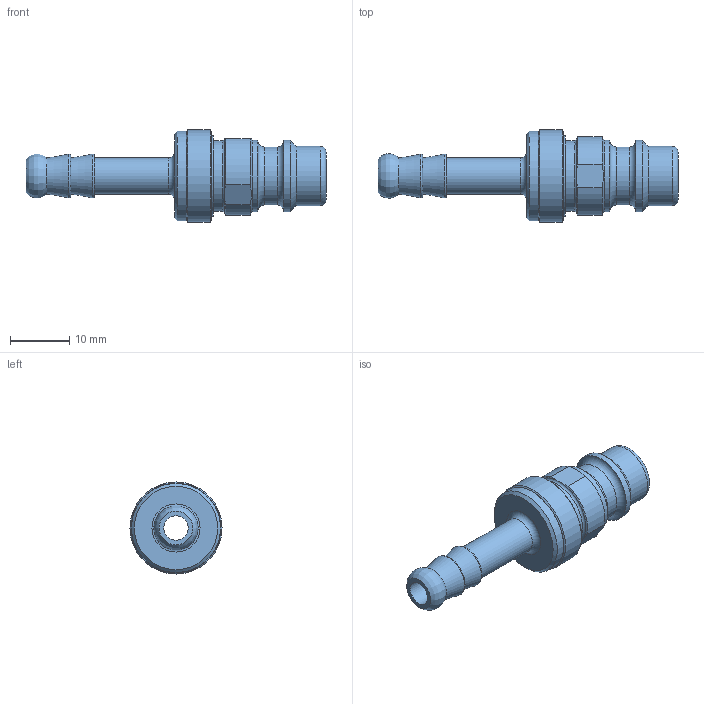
import cadquery as cq
import math

total_length = 50.5
bore_radius = 4.1 / 2

stem_radius = 6.1 / 2
tip_face_radius = 2.85
tip_crest_radius = 3.75
tip_crest_x = 1.75
first_barb_x = 3.5
barb_count = 2
barb_pitch = 4.0
barb_crest_radius = 3.7
barb_flare_sag = 0.06
barb_crest_round = 0.3
collar_start_x = 25.0
collar_end_x = 27.0
collar_radius = 15.0 / 2
collar_chamfer = 0.5
stem_fillet = 1.0

sleeve_radius = 15.5 / 2
sleeve_end_x = 31.2
sleeve_chamfer = 0.2
step_radius = 13.5 / 2
step_end_x = 31.55
neck_radius = 11.9 / 2
neck_end_x = 33.05
neck_fillet = 0.4
wrench_radius = 13.2 / 2
wrench_cone_angle = math.radians(60)
wrench_end_x = 37.75
flat_distance = 6.3
flat_count = 3
land_radius = 12.0 / 2
land_end_x = 39.0
groove_radius = 9.75 / 2
rib_start_x = 43.4
rib_width = 1.1
nose_radius = 10.0 / 2
nose_round = 1.0


def arc_point(center_x, center_r, radius, degrees):
    """Point on a circle in the (x, radius) half plane."""
    angle = math.radians(degrees)
    return (center_x + radius * math.cos(angle), center_r + radius * math.sin(angle))


def revolve_about_x(profile):
    return profile.close().revolve(360, (0, 0, 0), (1, 0, 0))


def add_barb(profile, start_x):
    """Hollow flank flaring up to a rounded crest, then a square drop to the stem."""
    end_x = start_x + barb_pitch
    crest_x = end_x - barb_crest_round
    flank_middle = (
        (start_x + crest_x) / 2,
        (stem_radius + barb_crest_radius) / 2 - barb_flare_sag,
    )
    shoulder_r = barb_crest_radius - barb_crest_round
    crest_middle = arc_point(crest_x, shoulder_r, barb_crest_round, 45)
    return (
        profile.threePointArc(flank_middle, (crest_x, barb_crest_radius))
        .threePointArc(crest_middle, (end_x, shoulder_r))
        .lineTo(end_x, stem_radius)
    )


def make_hose_tail():
    profile = (
        cq.Workplane("XY")
        .moveTo(0, bore_radius)
        .lineTo(0, tip_face_radius)
        .threePointArc((tip_crest_x, tip_crest_radius), (first_barb_x, stem_radius))
    )
    for index in range(barb_count):
        profile = add_barb(profile, first_barb_x + index * barb_pitch)

    fillet_x = collar_start_x - stem_fillet
    fillet_r = stem_radius + stem_fillet
    profile = (
        profile.lineTo(fillet_x, stem_radius)
        .threePointArc(arc_point(fillet_x, fillet_r, stem_fillet, -45), (collar_start_x, fillet_r))
        .lineTo(collar_start_x, collar_radius - collar_chamfer)
        .lineTo(collar_start_x + collar_chamfer, collar_radius)
        .lineTo(collar_end_x, collar_radius)
        .lineTo(collar_end_x, bore_radius)
    )
    return revolve_about_x(profile)


def make_plug_blank():
    fillet_end = (neck_end_x + neck_fillet, neck_radius + neck_fillet)
    fillet_middle = arc_point(neck_end_x, fillet_end[1], neck_fillet, -45)
    cone_slope = math.tan(wrench_cone_angle)
    wrench_start_x = fillet_end[0] + (wrench_radius - fillet_end[1]) / cone_slope

    land_start_x = wrench_end_x + (wrench_radius - land_radius) / cone_slope

    groove_fillet = land_radius - groove_radius
    groove_start_x = land_end_x + groove_fillet
    groove_end_x = rib_start_x - groove_fillet
    rib_end_x = rib_start_x + rib_width
    nose_start_x = rib_end_x + land_radius - nose_radius
    round_x = total_length - nose_round
    nose_face_radius = nose_radius - nose_round

    profile = (
        cq.Workplane("XY")
        .moveTo(collar_end_x, bore_radius)
        .lineTo(collar_end_x, sleeve_radius - sleeve_chamfer)
        .lineTo(collar_end_x + sleeve_chamfer, sleeve_radius)
        .lineTo(sleeve_end_x - sleeve_chamfer, sleeve_radius)
        .lineTo(sleeve_end_x, sleeve_radius - sleeve_chamfer)
        .lineTo(sleeve_end_x, step_radius)
        .lineTo(step_end_x, step_radius)
        .lineTo(step_end_x, neck_radius)
        .lineTo(neck_end_x, neck_radius)
        .threePointArc(fillet_middle, fillet_end)
        .lineTo(wrench_start_x, wrench_radius)
        .lineTo(wrench_end_x, wrench_radius)
        .lineTo(land_start_x, land_radius)
        .lineTo(land_end_x, land_radius)
        .threePointArc(
            arc_point(groove_start_x, land_radius, groove_fillet, -135),
            (groove_start_x, groove_radius),
        )
        .lineTo(groove_end_x, groove_radius)
        .threePointArc(
            arc_point(groove_end_x, land_radius, groove_fillet, -45),
            (rib_start_x, land_radius),
        )
        .lineTo(rib_end_x, land_radius)
        .lineTo(nose_start_x, nose_radius)
        .lineTo(round_x, nose_radius)
        .threePointArc(
            arc_point(round_x, nose_face_radius, nose_round, 45),
            (total_length, nose_face_radius),
        )
        .lineTo(total_length, bore_radius)
    )
    return revolve_about_x(profile)


def make_flat_cutter(angle):
    """Block whose inner face is one wrench flat, turned about X from the +Z position."""
    depth = wrench_radius - flat_distance
    length = land_end_x - step_end_x
    return (
        cq.Workplane("XY")
        .box(length, 2 * wrench_radius, depth, centered=(False, True, False))
        .translate((step_end_x, 0, flat_distance))
        .rotate((0, 0, 0), (1, 0, 0), angle)
    )


def make_plug():
    body = make_plug_blank()
    for index in range(flat_count):
        body = body.cut(make_flat_cutter(index * 360 / flat_count))
    return body


hose_tail = make_hose_tail()
plug = make_plug()

result = cq.Compound.makeCompound([hose_tail.val(), plug.val()])